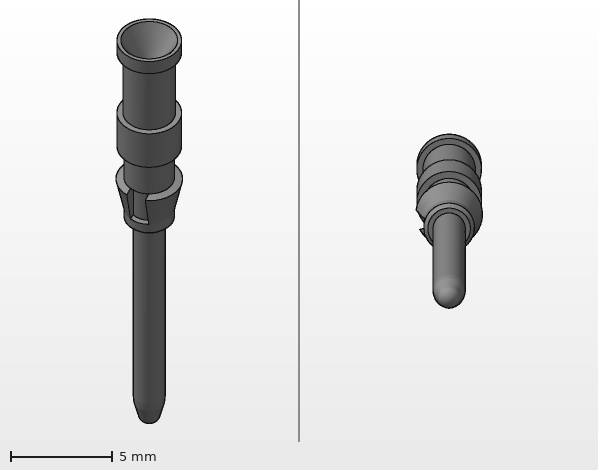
import cadquery as cq
import math

LENGTH = 25.0
RIM_BOTTOM = 24.2
COLLAR_TOP = 20.25
COLLAR_BOTTOM = 18.05
CLIP_TOP = 16.0
CLIP_EDGE = 15.9
CLIP_BOTTOM = 14.0
SHOULDER_EDGE = 13.45
SHOULDER_BOTTOM = 13.25
TAPER_BLEND_TOP = 1.78
TAPER_TOP = 1.25
TAPER_BOTTOM = 0.35

COLLAR_R = 1.6
BARREL_R = 1.3
NECK_R = 1.25
CLIP_R = 1.65
SHOULDER_R = 1.05
PIN_R = 0.8
TAPER_TOP_R = 0.75
TAPER_BOTTOM_R = 0.52

FUNNEL_R = 1.4
FUNNEL_ANGLE = 60.0
BORE_R = 0.42
BORE_BOTTOM = 16.88
DRILL_ANGLE = 120.0

HOLE_DIAMETER = 0.8
HOLE_Z = 17.42
SLOT_WIDTH = 1.0
SLOT_FLOOR_R = 0.95


def cone_depth(radial_change, full_angle):
    """Axial length over which a cone changes radius by the given amount."""
    return radial_change / math.tan(math.radians(full_angle / 2))


def turned_body():
    tip_r = (TAPER_BOTTOM_R**2 + TAPER_BOTTOM**2) / (2 * TAPER_BOTTOM)
    profile = (
        cq.Workplane("XZ")
        .lineTo(0, LENGTH)
        .lineTo(COLLAR_R, LENGTH)
        .lineTo(COLLAR_R, RIM_BOTTOM)
        .lineTo(BARREL_R, RIM_BOTTOM)
        .lineTo(BARREL_R, COLLAR_TOP)
        .lineTo(COLLAR_R, COLLAR_TOP)
        .lineTo(COLLAR_R, COLLAR_BOTTOM)
        .lineTo(NECK_R, COLLAR_BOTTOM)
        .lineTo(NECK_R, CLIP_TOP)
        .lineTo(CLIP_R, CLIP_EDGE)
        .lineTo(NECK_R, CLIP_BOTTOM)
        .lineTo(NECK_R, SHOULDER_EDGE)
        .lineTo(SHOULDER_R, SHOULDER_BOTTOM)
        .lineTo(PIN_R, SHOULDER_BOTTOM)
        .lineTo(PIN_R, TAPER_BLEND_TOP)
        .tangentArcPoint((TAPER_TOP_R, TAPER_TOP), relative=False)
        .lineTo(TAPER_BOTTOM_R, TAPER_BOTTOM)
        .radiusArc((0, 0), tip_r)
        .close()
    )
    return profile.revolve(360, (0, 0, 0), (0, 1, 0))


def wire_bore():
    funnel_bottom = LENGTH - cone_depth(FUNNEL_R - BORE_R, FUNNEL_ANGLE)
    drill_tip = BORE_BOTTOM - cone_depth(BORE_R, DRILL_ANGLE)
    profile = (
        cq.Workplane("XZ")
        .moveTo(0, LENGTH)
        .lineTo(FUNNEL_R, LENGTH)
        .lineTo(BORE_R, funnel_bottom)
        .lineTo(BORE_R, BORE_BOTTOM)
        .lineTo(0, drill_tip)
        .close()
    )
    return profile.revolve(360, (0, 0, 0), (0, 1, 0))


def inspection_hole():
    """Radial hole from the -X side into the wire bore."""
    return (
        cq.Workplane("YZ")
        .center(0, HOLE_Z)
        .circle(HOLE_DIAMETER / 2)
        .extrude(-COLLAR_R)
    )


def clip_slot():
    """Slot through the -Y side of the clip, with a cylindrical floor."""
    height = CLIP_TOP - CLIP_BOTTOM
    base = cq.Workplane("XY").workplane(offset=CLIP_BOTTOM)
    block = base.center(0, -CLIP_R / 2).rect(SLOT_WIDTH, CLIP_R).extrude(height)
    core = (
        cq.Workplane("XY")
        .workplane(offset=CLIP_BOTTOM)
        .circle(SLOT_FLOOR_R)
        .extrude(height)
    )
    return block.cut(core)


result = turned_body().cut(wire_bore()).cut(inspection_hole()).cut(clip_slot())